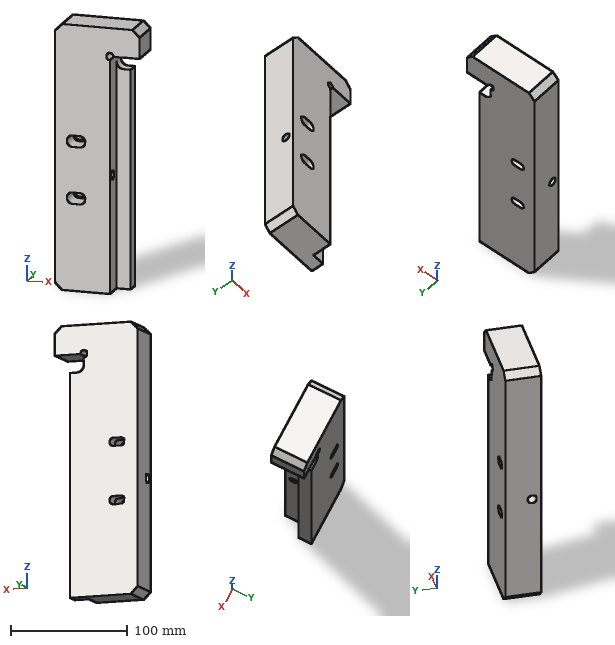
import cadquery as cq

LENGTH_X = 76.2
DEPTH_Y = 31.75
HEIGHT_Z = 237.49
CORNER_CHAMFER = 6.35

SHANK_WIDTH = 49.53
HOOK_UNDERSIDE_Z = 212.09
RELIEF_DIAMETER = 6.35

FLANGE_WIDTH = 12.7
FLANGE_RIGHT_X = SHANK_WIDTH + FLANGE_WIDTH
FLANGE_TOP_Z = 196.2
FLANGE_THICKNESS = 12.7
FLANGE_FILLET = 6.35

SLOT_CENTER_X = 19.05
LOWER_SLOT_Z = 82.8
SLOT_SPACING = 50.8
SLOT_CENTERS_Z = (LOWER_SLOT_Z, LOWER_SLOT_Z + SLOT_SPACING)
SLOT_STRAIGHT_LENGTH = 6.35
WIDE_SLOT_HEIGHT = 10.16
NARROW_SLOT_HEIGHT = 7.14
WIDE_SLOT_DEPTH = 19.05

CROSS_HOLE_DIAMETER = 7.94
CROSS_HOLE_SETBACK = 8.0
CROSS_HOLE_Z = 104.2


def front_plane(y=0):
    """XZ sketch plane at depth y; extruding by a negative distance goes toward +Y."""
    return cq.Workplane("XZ", origin=(0, y, 0))


def make_hooked_body():
    outline = [
        (CORNER_CHAMFER, 0),
        (SHANK_WIDTH, 0),
        (SHANK_WIDTH, HOOK_UNDERSIDE_Z),
        (LENGTH_X, HOOK_UNDERSIDE_Z),
        (LENGTH_X, HEIGHT_Z - CORNER_CHAMFER),
        (LENGTH_X - CORNER_CHAMFER, HEIGHT_Z),
        (CORNER_CHAMFER, HEIGHT_Z),
        (0, HEIGHT_Z - CORNER_CHAMFER),
        (0, CORNER_CHAMFER),
    ]
    return front_plane().polyline(outline).close().extrude(-DEPTH_Y)


def make_flange():
    fillet_top = (SHANK_WIDTH, FLANGE_TOP_Z + FLANGE_FILLET)
    fillet_end = (SHANK_WIDTH + FLANGE_FILLET, FLANGE_TOP_Z)
    outline = (
        front_plane(DEPTH_Y - FLANGE_THICKNESS)
        .moveTo(SHANK_WIDTH, 0)
        .lineTo(FLANGE_RIGHT_X, 0)
        .lineTo(FLANGE_RIGHT_X, FLANGE_TOP_Z)
        .lineTo(*fillet_end)
        .radiusArc(fillet_top, FLANGE_FILLET)
        .close()
    )
    return outline.extrude(-FLANGE_THICKNESS)


def make_corner_relief():
    center = front_plane().center(SHANK_WIDTH, HOOK_UNDERSIDE_Z)
    return center.circle(RELIEF_DIAMETER / 2).extrude(-DEPTH_Y)


def make_slot(center_z, height, depth):
    center = front_plane().center(SLOT_CENTER_X, center_z)
    return center.slot2D(SLOT_STRAIGHT_LENGTH + height, height).extrude(-depth)


def make_stepped_slot(center_z):
    wide = make_slot(center_z, WIDE_SLOT_HEIGHT, WIDE_SLOT_DEPTH)
    narrow = make_slot(center_z, NARROW_SLOT_HEIGHT, DEPTH_Y)
    return wide.union(narrow)


def make_cross_hole():
    side = cq.Workplane("YZ").center(CROSS_HOLE_SETBACK, CROSS_HOLE_Z)
    return side.circle(CROSS_HOLE_DIAMETER / 2).extrude(LENGTH_X)


result = make_hooked_body().union(make_flange())
result = result.cut(make_corner_relief()).cut(make_cross_hole())
for slot_z in SLOT_CENTERS_Z:
    result = result.cut(make_stepped_slot(slot_z))